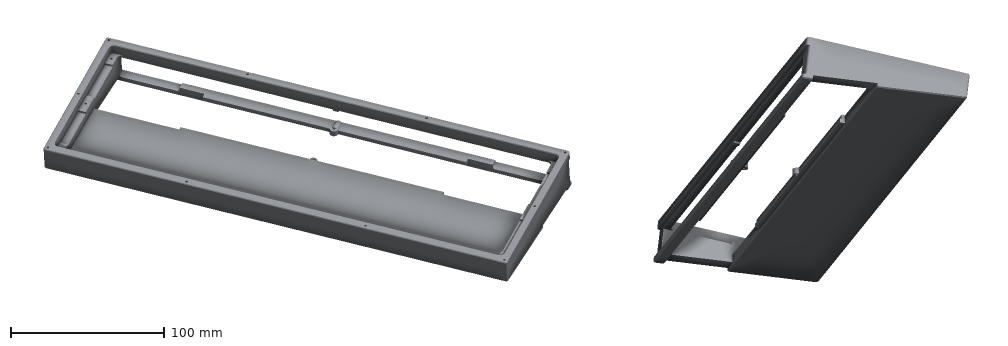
import cadquery as cq
import math

width = 325.75
depth = 112.18
slope = 6.5
front_y = -57.37
back_height = 30.09
corner_radius = 1.5
rim_chamfer = 0.5
bottom_chamfer = 0.8
raw_height = 40.0

side_wall = 5.0
end_wall = 6.0
upper_radius = 3.0
pad_depth = 7.4
ledge_depth = 9.0
ledge_width = 5.4
pad_screw_inset = 2.4
middle_pad_length = 15.0
end_pad_length = 10.5

lower_radius = 3.5
floor_depth = 16.3
bar_depth = 23.4

screw_diameter = 1.7
screw_depth = 5.0
rim_screw_inset = 2.5
rim_screw_x = 62.9

rail_depth = 9.4
rail_lip = 6.0
back_recess = 1.9
bar_lip_top = 3.5

opening_front = 6.2
opening_back = 50.1
rebate_height = 2.8
lip_half_width = 92.6
lip_reach = 3.3
lip_step = 1.0
lip_top = 5.5
bar_pocket_start = 110.0
bar_pocket_depth = 3.1
bar_pocket_radius = 2.0
bar_pocket_run = 8.0

boss_radius = 2.7
boss_offset = 0.7
boss_top = 6.8
ridge_radius = 2.6
ridge_top = 7.4
rail_bump_width = 3.8
rail_bump_drop = 1.2

angle = math.radians(slope)
top_y = front_y + depth / 2 * math.cos(angle)
top_z = back_height - depth / 2 * math.sin(angle)
upper_width = width - 2 * side_wall
upper_length = depth - 2 * end_wall
lower_width = upper_width - 2 * ledge_width
end_wall_inner = upper_length / 2
floor_clearance = 10.0
big = 2 * width


def place(shape):
    """Move a shape from the sloping frame (top face at z = 0) onto the part."""
    return shape.rotate((0, 0, 0), (1, 0, 0), slope).translate((0, top_y, top_z))


def block(x_range, y_range, z_range):
    """Box given by its limits on each axis."""
    sizes = [high - low for low, high in (x_range, y_range, z_range)]
    return (
        cq.Workplane("XY")
        .box(*sizes, centered=False)
        .translate((x_range[0], y_range[0], z_range[0]))
    )


def well(x_size, y_size, drop, radius):
    """Round-cornered pocket going down from the sloping top."""
    return cq.Workplane("XY").rect(x_size, y_size).extrude(-drop).edges("|Z").fillet(radius)


def above(height):
    """Everything higher than a level plane."""
    return block((-big, big), (-big, big), (height, big))


def outer_body():
    """Rounded and chamfered wedge with a level bottom."""
    shell = (
        cq.Workplane("XY").rect(width, depth).extrude(-raw_height)
        .edges("|Z").fillet(corner_radius)
        .faces(">Z").edges().chamfer(rim_chamfer)
    )
    return place(shell).intersect(above(0)).faces("<Z").edges().chamfer(bottom_chamfer)


def upper_cavity():
    """Plate recess with its flared mouth, raised pads and pad screw holes."""
    pocket = well(upper_width, upper_length, ledge_depth, upper_radius)
    outline = cq.Sketch().rect(upper_width, upper_length).vertices().fillet(upper_radius)
    mouth = (
        cq.Workplane("XY", origin=(0, 0, -rim_chamfer))
        .placeSketch(outline).extrude(rim_chamfer, taper=-45)
    )
    pad_centre = end_wall_inner - end_pad_length / 2
    pads = (
        (-pad_centre, end_pad_length),
        (0, middle_pad_length),
        (pad_centre, end_pad_length),
    )
    for pad_y, length in pads:
        y_range = (pad_y - length / 2, pad_y + length / 2)
        pocket = pocket.cut(block((-big, big), y_range, (-ledge_depth, -pad_depth)))
    hole_x = upper_width / 2 - pad_screw_inset
    holes = [(x, y) for x in (-hole_x, hole_x) for y in (-pad_centre, 0, pad_centre)]
    screws = (
        cq.Workplane("XY").workplane(offset=-pad_depth)
        .pushPoints(holes)
        .circle(screw_diameter / 2).extrude(-screw_depth)
    )
    return place(pocket.union(mouth).union(screws))


def lower_cavity():
    """Space over the floor, and the deeper space over the bottom bar."""
    over_floor = well(lower_width, upper_length, floor_depth, lower_radius)
    over_bar = well(lower_width, upper_length, bar_depth, lower_radius)
    behind_floor = block((-big, big), (opening_front + lip_reach, big), (0, big))
    return place(over_floor).union(place(over_bar).intersect(behind_floor))


def rim_screws():
    """Screw holes around the top rim."""
    edge_x = width / 2 - rim_screw_inset
    edge_y = depth / 2 - rim_screw_inset
    columns = (-edge_x, -rim_screw_x, rim_screw_x, edge_x)
    points = [(x, y) for x in columns for y in (-edge_y, edge_y)]
    points += [(-edge_x, 0), (edge_x, 0)]
    return place(
        cq.Workplane("XY").pushPoints(points).circle(screw_diameter / 2).extrude(-screw_depth)
    )


def back_opening():
    """Window between the side walls, and the stepped seat around it."""
    half = lower_width / 2
    window = place(block((-half, half), (0, depth), (-bar_depth, -rail_depth)))
    seat = block((-width, width), (0, depth), (-raw_height, -rail_lip))
    kept = (
        cq.Workplane("XY").rect(width, depth).extrude(-raw_height)
        .edges("|Z").fillet(corner_radius)
        .translate((0, -back_recess, 0))
    )
    behind_floor = block((-big, big), (opening_back - lip_reach, big), (0, big))
    return window.intersect(behind_floor).union(place(seat.cut(kept)).intersect(above(bar_lip_top)))


def bottom_opening():
    """Opening between floor and bar, with lips and a full-width cover rebate."""
    half = lower_width / 2
    front_lip_edge = opening_front + lip_reach
    back_lip_edge = opening_back - lip_reach
    lip_x = (-lip_half_width, lip_half_width)
    opening = block((-half, half), (opening_front, opening_back), (0, floor_clearance))
    rebate = block((-width, width), (opening_front, opening_back), (0, rebate_height))
    floor_edge = block(lip_x, (opening_front, front_lip_edge - lip_step), (rebate_height, big))
    front_lip = block(lip_x, (opening_front, front_lip_edge), (rebate_height, lip_top))
    back_lip = block(lip_x, (back_lip_edge, opening_back), (rebate_height, big))
    return opening.cut(floor_edge).cut(front_lip).cut(back_lip).union(rebate)


def bar_pocket(side):
    """Round-bottomed pocket in one end of the bottom bar, leaving only the lip along its back."""
    ends = sorted((side * bar_pocket_start, side * lower_width / 2))
    y_range = (end_wall_inner - bar_pocket_run, depth / 2 - back_recess)
    pocket = block(ends, y_range, (-bar_depth - bar_pocket_depth, -rail_depth))
    pocket = place(pocket.edges("|Y and <Z").fillet(bar_pocket_radius))
    return pocket.intersect(block((-big, big), (opening_back - lip_reach, big), (0, big)))


def cover_boss(lip_edge, direction):
    """Round screw boss standing out from a lip into the bottom opening, with its hole."""
    centre_y = lip_edge + direction * boss_offset
    disc = cq.Workplane("XY", origin=(0, centre_y, rebate_height))
    height = boss_top - rebate_height
    boss = disc.circle(boss_radius).extrude(height)
    hole = disc.circle(screw_diameter / 2).extrude(height)
    return boss, hole


def bar_ridge():
    """Round ridge across the top of the bottom bar."""
    back_y = top_y + (depth / 2 - back_recess) * math.cos(angle) + bar_depth * math.sin(angle)
    front_edge = opening_back - lip_reach
    return (
        cq.Workplane("XZ", origin=(0, back_y, ridge_top - ridge_radius))
        .circle(ridge_radius).extrude(back_y - front_edge)
        .intersect(above(rebate_height))
    )


def rail_bump():
    """Small block under the middle of the top rail."""
    half = rail_bump_width / 2
    y_range = (end_wall_inner, depth / 2 - back_recess)
    return place(block((-half, half), y_range, (-rail_depth - rail_bump_drop, -rail_depth)))


result = outer_body()
cavities = (
    upper_cavity(),
    lower_cavity(),
    rim_screws(),
    back_opening(),
    bottom_opening(),
    bar_pocket(-1),
    bar_pocket(1),
)
for cavity in cavities:
    result = result.cut(cavity)
result = result.union(bar_ridge()).union(rail_bump())
for edge, direction in ((opening_front + lip_reach, 1), (opening_back - lip_reach, -1)):
    boss, hole = cover_boss(edge, direction)
    result = result.union(boss).cut(hole)